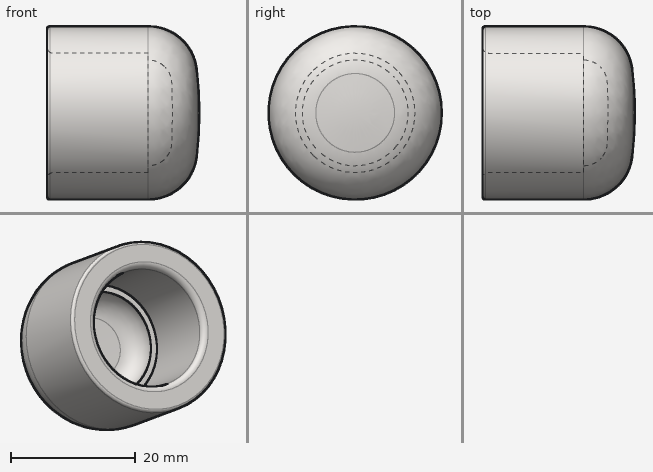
import cadquery as cq
import math

length = 24.45
outer_radius = 13.9
straight_length = 16.2
shoulder_radius = 7.87
dome_edge_radius = 6.3
rim_fillet = 0.5

bore_radius = 9.55
mouth_fillet = 1.0
bore_depth = straight_length
bowl_radius = 8.48
bowl_corner_radius = 3.78
bowl_dome_edge_radius = 4.9
wall = outer_radius - bore_radius
bowl_end = length - wall


def round_end(profile, start, radius, corner_radius, dome_edge_radius, apex):
    """Continue from (start, radius) to the axis: a corner arc, then a shallow dome."""
    corner_center = radius - corner_radius
    edge_angle = math.asin((dome_edge_radius - corner_center) / corner_radius)
    dome_edge = start + corner_radius * math.cos(edge_angle)
    dome_height = apex - dome_edge
    dome_radius = (dome_edge_radius**2 + dome_height**2) / (2 * dome_height)
    half_dome_angle = math.asin(dome_edge_radius / dome_radius) / 2

    middle_angle = (edge_angle + math.pi / 2) / 2
    corner_middle = (
        start + corner_radius * math.cos(middle_angle),
        corner_center + corner_radius * math.sin(middle_angle),
    )
    dome_middle = (
        apex - dome_radius * (1 - math.cos(half_dome_angle)),
        dome_radius * math.sin(half_dome_angle),
    )
    profile = profile.threePointArc(corner_middle, (dome_edge, dome_edge_radius))
    return profile.threePointArc(dome_middle, (apex, 0))


def revolve_about_x(profile):
    return profile.close().revolve(360, (0, 0, 0), (1, 0, 0))


def make_body():
    profile = cq.Workplane("XY").lineTo(0, outer_radius).lineTo(straight_length, outer_radius)
    profile = round_end(
        profile, straight_length, outer_radius, shoulder_radius, dome_edge_radius, length
    )
    return revolve_about_x(profile)


def make_cavity():
    profile = (
        cq.Workplane("XY")
        .lineTo(0, bore_radius)
        .lineTo(bore_depth, bore_radius)
        .lineTo(bore_depth, bowl_radius)
    )
    profile = round_end(
        profile, bore_depth, bowl_radius, bowl_corner_radius, bowl_dome_edge_radius, bowl_end
    )
    return revolve_about_x(profile)


def round_rim_edges(cap):
    """Round the outer edge of the rim and, more generously, the mouth of the bore."""
    cap = cap.faces("<X").edges(cq.selectors.RadiusNthSelector(-1)).fillet(rim_fillet)
    return cap.faces("<X").edges(cq.selectors.RadiusNthSelector(0)).fillet(mouth_fillet)


result = round_rim_edges(make_body().cut(make_cavity()))